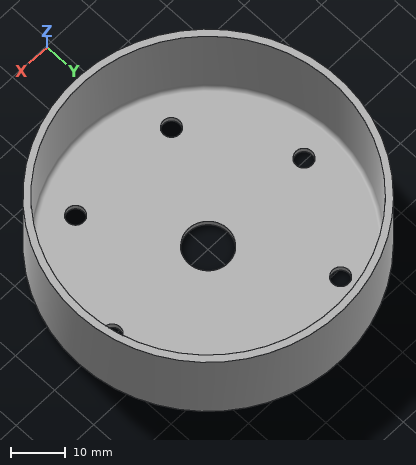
import cadquery as cq

outer_diameter = 67.7
inner_diameter = 64.7
height = 22.5
inner_fillet = 1.0
center_hole_diameter = 10.0
bolt_hole_diameter = 4.0
bolt_circle_radius = 25.0
bolt_hole_count = 6

wall = (outer_diameter - inner_diameter) / 2
floor_thickness = wall
outer_fillet = inner_fillet + wall


def rounded_cylinder(diameter, length, fillet):
    """Cylinder standing on Z = 0 with its bottom edge rounded."""
    return cq.Workplane("XY").circle(diameter / 2).extrude(length).faces("<Z").edges().fillet(fillet)


body = rounded_cylinder(outer_diameter, height, outer_fillet)
cavity = rounded_cylinder(inner_diameter, height - floor_thickness, inner_fillet)
cup = body.cut(cavity.translate((0, 0, floor_thickness)))

center_hole = cq.Workplane("XY").circle(center_hole_diameter / 2).extrude(height)
bolt_holes = (
    cq.Workplane("XY")
    .polarArray(bolt_circle_radius, 0, 360, bolt_hole_count)
    .circle(bolt_hole_diameter / 2)
    .extrude(height)
)

result = cup.cut(center_hole).cut(bolt_holes)